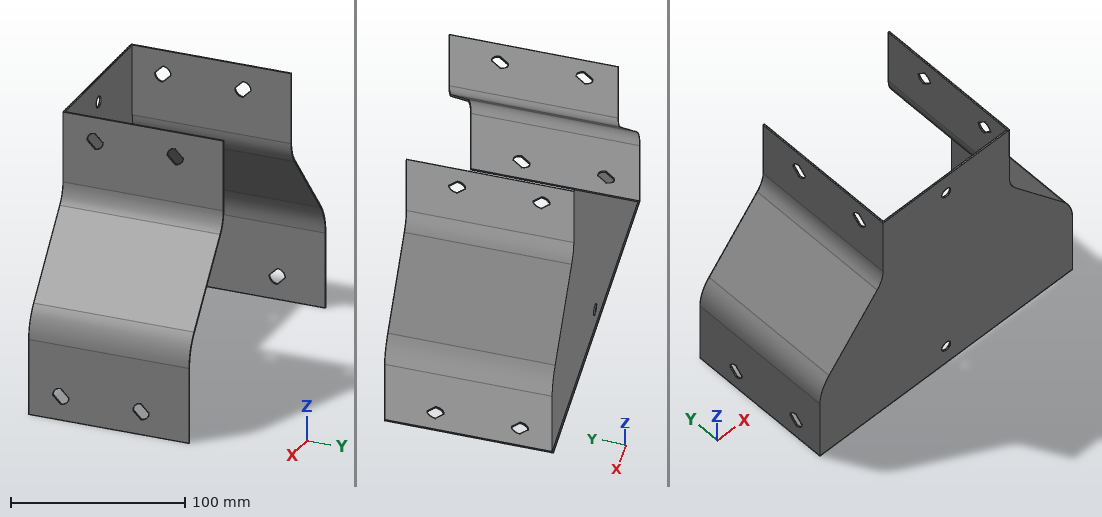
import cadquery as cq
import math

base_width = 200.0
neck_width = 100.0
depth = 100.0
height = 170.0
sheet = 1.0

slope_bottom = 58.8
slope_top = 118.5
lower_bend_radius = 31.0
upper_bend_radius = 20.0

hole_end_margin = 15.0
plate_hole_diameter = 7.0
wall_hole_across_flats = 7.0
wall_hole_diameter = 10.0
wall_hole_tilt = 45.0
front_wall_hole_y = 20.0
rear_wall_hole_y = 70.0
rear_wall_hole_drop = 0.5
hole_heights = (hole_end_margin, height - hole_end_margin)


def profile_solid(inset, y_start, y_end):
    """Funnel-shaped block, with its sides moved inwards by the inset."""
    slope_tilt = math.atan2((base_width - neck_width) / 2, slope_top - slope_bottom)
    corner_shift = inset * math.tan(slope_tilt / 2)
    half_base = base_width / 2 - inset
    half_neck = neck_width / 2 - inset
    low = slope_bottom - corner_shift
    high = slope_top - corner_shift
    outline = [
        (-half_base, 0),
        (half_base, 0),
        (half_base, low),
        (half_neck, high),
        (half_neck, height),
        (-half_neck, height),
        (-half_neck, high),
        (-half_base, low),
    ]
    block = (
        cq.Workplane("XZ", origin=(0, y_start, 0))
        .polyline(outline)
        .close()
        .extrude(-(y_end - y_start))
    )

    def bend_edges(z):
        """Edges running front to back at the corners at height z."""
        reach = sheet / 2
        box = cq.selectors.BoxSelector(
            (-base_width, y_start - reach, z - reach), (base_width, y_end + reach, z + reach)
        )
        return block.edges("|Y").edges(box)

    block = bend_edges(low).fillet(lower_bend_radius - inset)
    block = bend_edges(high).fillet(upper_bend_radius + inset)
    return block


def plate_hole(z):
    """Round hole through the flat plate."""
    return (
        cq.Workplane("XZ", origin=(0, 0, z))
        .circle(plate_hole_diameter / 2)
        .extrude(-sheet)
    )


def wall_hole(side, y, z):
    """Round hole with two flats, tilted, through the wall on one side (-1 left, +1 right)."""
    half_width = base_width / 2
    start = 0 if side > 0 else -half_width
    plane = cq.Workplane("YZ", origin=(start, y, z))
    disc = plane.circle(wall_hole_diameter / 2).extrude(half_width)
    bar = plane.rect(wall_hole_diameter, wall_hole_across_flats).extrude(half_width)
    hole = disc.intersect(bar)
    return hole.rotate((0, y, z), (1, y, z), wall_hole_tilt * -side)


result = profile_solid(0, 0, depth).cut(profile_solid(sheet, sheet, depth))
for z in hole_heights:
    result = result.cut(plate_hole(z))
    for side in (-1, 1):
        result = result.cut(wall_hole(side, front_wall_hole_y, z))
        result = result.cut(wall_hole(side, rear_wall_hole_y, z - rear_wall_hole_drop))